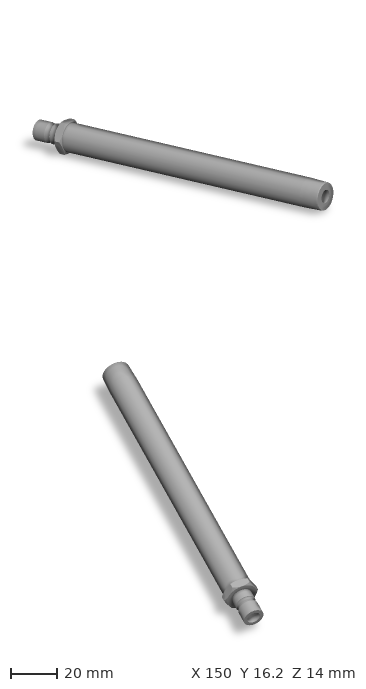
import cadquery as cq
import math

total_length = 150.0
groove_start = 6.0
groove_cone_end = 7.4
groove_end = 8.7
nut_start = 12.9
nut_end = 16.8
tip_length = 9.0
end_bevel_length = 0.5

neck_radius = 4.6
groove_cone_radius = 4.0
body_radius = 6.6
tip_radius = 6.3
end_radius = 6.2
bore_radius = 3.0
nut_flats_width = 14.0
nut_corner_radius = nut_flats_width / math.sqrt(3)

nut_face_radius = 6.9
nut_front_bevel_length = 0.9
nut_back_bevel_length = 0.6


def revolve_about_x(outline):
    """Turn a closed (x, radius) outline into a solid around the X axis."""
    return outline.close().revolve(360, (0, 0, 0), (1, 0, 0))


def make_shaft():
    """Grooved neck, long body and slightly tapered tip."""
    left = -total_length / 2
    right = total_length / 2
    outline = (
        cq.Workplane("XY")
        .moveTo(left, 0)
        .lineTo(left, neck_radius)
        .lineTo(left + groove_start, neck_radius)
        .lineTo(left + groove_cone_end, groove_cone_radius)
        .tangentArcPoint((left + groove_end, neck_radius), relative=False)
        .lineTo(left + nut_start, neck_radius)
        .lineTo(left + nut_start, body_radius)
        .lineTo(right - tip_length, body_radius)
        .lineTo(right - end_bevel_length, tip_radius)
        .lineTo(right, end_radius)
        .lineTo(right, 0)
    )
    return revolve_about_x(outline)


def make_nut():
    """Hexagonal collar with flats facing up and down and bevelled corners."""
    start = nut_start - total_length / 2
    end = nut_end - total_length / 2
    hexagon = (
        cq.Workplane("YZ", origin=(start, 0, 0))
        .polygon(6, 2 * nut_corner_radius)
        .extrude(end - start)
    )
    bevelled_outline = cq.Workplane("XY").polyline([
        (start, 0),
        (start, nut_face_radius),
        (start + nut_front_bevel_length, nut_corner_radius),
        (end - nut_back_bevel_length, nut_corner_radius),
        (end, nut_face_radius),
        (end, 0),
    ])
    return hexagon.intersect(revolve_about_x(bevelled_outline))


def make_bore():
    """Through hole along the whole part."""
    return cq.Workplane("YZ", origin=(-total_length / 2, 0, 0)).circle(bore_radius).extrude(total_length)


result = make_shaft().union(make_nut()).cut(make_bore())